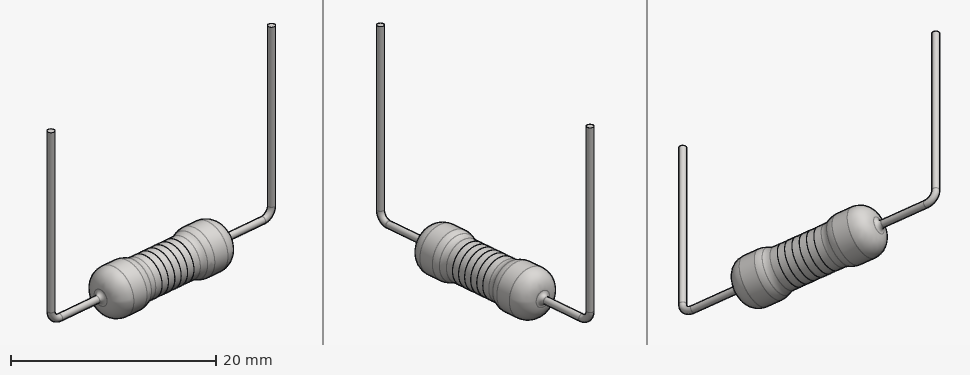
import cadquery as cq
import math

LEAD_DIAMETER = 0.8
LEAD_SPACING = 30.0
LEAD_TOP = 21.35
BEND_RADIUS = 1.2

CAP_DIAMETER = 5.5
WAIST_DIAMETER = 4.7
BAND_DIAMETER = 4.67
BODY_LENGTH = 16.5
SHOULDER_LENGTH = 1.58
WAIST_LENGTH = 6.06
COLLAR_RADIUS = 0.5

SEGMENT_COUNT = 7
SEGMENT_LENGTH = WAIST_LENGTH / SEGMENT_COUNT

LEAD_RADIUS = LEAD_DIAMETER / 2
CAP_RADIUS = CAP_DIAMETER / 2
WAIST_RADIUS = WAIST_DIAMETER / 2
END_ROUND_RADIUS = CAP_RADIUS - LEAD_RADIUS - COLLAR_RADIUS
HALF_BODY = BODY_LENGTH / 2
HALF_WAIST = WAIST_LENGTH / 2
HALF_SPACING = LEAD_SPACING / 2
DIAGONAL = math.sqrt(0.5)


def make_half_body():
    """Revolve the +Y half of the body, from its middle to the lead collar."""
    cap_start = HALF_WAIST + SHOULDER_LENGTH
    cap_end = HALF_BODY - END_ROUND_RADIUS
    shoulder_middle = (
        (WAIST_RADIUS + CAP_RADIUS) / 2,
        HALF_WAIST + SHOULDER_LENGTH / 2,
    )
    end_round_middle = (
        CAP_RADIUS - END_ROUND_RADIUS * (1 - DIAGONAL),
        cap_end + END_ROUND_RADIUS * DIAGONAL,
    )
    collar_middle = (
        LEAD_RADIUS + COLLAR_RADIUS * (1 - DIAGONAL),
        HALF_BODY + COLLAR_RADIUS * (1 - DIAGONAL),
    )
    return (
        cq.Workplane("XY")
        .lineTo(WAIST_RADIUS, 0)
        .lineTo(WAIST_RADIUS, HALF_WAIST)
        .tangentArcPoint(shoulder_middle, relative=False)
        .tangentArcPoint((CAP_RADIUS, cap_start), relative=False)
        .lineTo(CAP_RADIUS, cap_end)
        .threePointArc(end_round_middle, (CAP_RADIUS - END_ROUND_RADIUS, HALF_BODY))
        .threePointArc(collar_middle, (LEAD_RADIUS, HALF_BODY + COLLAR_RADIUS))
        .lineTo(0, HALF_BODY + COLLAR_RADIUS)
        .close()
        .revolve(360, (0, 0, 0), (0, 1, 0))
    )


def make_half_lead():
    """Sweep the +Y lead: along the axis, round the bend and up to its tip."""
    lead_start = HALF_BODY + COLLAR_RADIUS
    bend_start = HALF_SPACING - BEND_RADIUS
    bend_middle = (bend_start + BEND_RADIUS * DIAGONAL, BEND_RADIUS * (1 - DIAGONAL))
    path = (
        cq.Workplane("YZ")
        .moveTo(lead_start, 0)
        .lineTo(bend_start, 0)
        .threePointArc(bend_middle, (HALF_SPACING, BEND_RADIUS))
        .lineTo(HALF_SPACING, LEAD_TOP)
    )
    return (
        cq.Workplane("XZ", origin=(0, lead_start, 0))
        .circle(LEAD_RADIUS)
        .sweep(path)
    )


def make_band_groove(start_y):
    """Thin ring that cuts one band groove, one segment long, from start_y towards -Y."""
    return (
        cq.Workplane("XZ", origin=(0, start_y, 0))
        .circle(CAP_RADIUS)
        .circle(BAND_DIAMETER / 2)
        .extrude(SEGMENT_LENGTH)
    )


half = make_half_body().union(make_half_lead())
result = half.union(half.mirror("XZ"), clean=True)

for segment in range(1, SEGMENT_COUNT, 2):
    groove_y = HALF_WAIST - segment * SEGMENT_LENGTH
    result = result.cut(make_band_groove(groove_y))